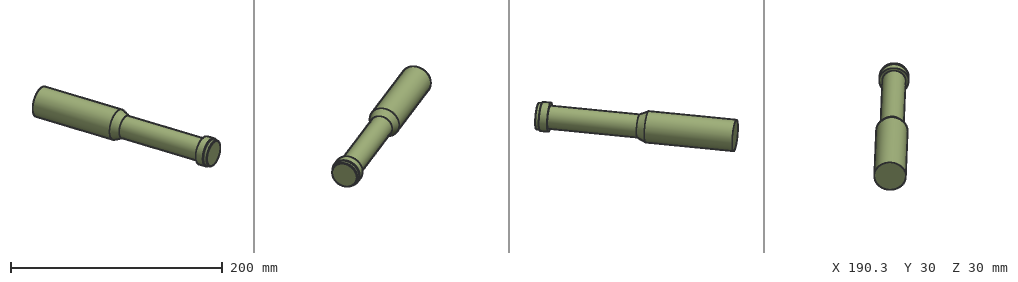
import cadquery as cq

total_length = 190.3
taper_start = 84.5
taper_end = 92.9
head_start = 178.5
head_chamfer = 0.5
tip_start = 186.7
root_fillet = 0.4
tip_chamfer = 0.5

handle_diameter = 30.0
shank_diameter = 22.3
head_diameter = 28.0
tip_diameter = 25.7

handle_radius = handle_diameter / 2
shank_radius = shank_diameter / 2
head_radius = head_diameter / 2
tip_radius = tip_diameter / 2

half_profile = (
    cq.Workplane("XY")
    .moveTo(0, 0)
    .lineTo(0, handle_radius)
    .lineTo(taper_start, handle_radius)
    .lineTo(taper_end, shank_radius)
    .lineTo(head_start, shank_radius)
    .lineTo(head_start, head_radius)
    .lineTo(tip_start - head_chamfer, head_radius)
    .lineTo(tip_start, head_radius - head_chamfer)
    .lineTo(tip_start, tip_radius + root_fillet)
    .radiusArc((tip_start + root_fillet, tip_radius), -root_fillet)
    .lineTo(total_length - tip_chamfer, tip_radius)
    .lineTo(total_length, tip_radius - tip_chamfer)
    .lineTo(total_length, 0)
    .close()
)

result = half_profile.revolve(360, (0, 0, 0), (1, 0, 0))